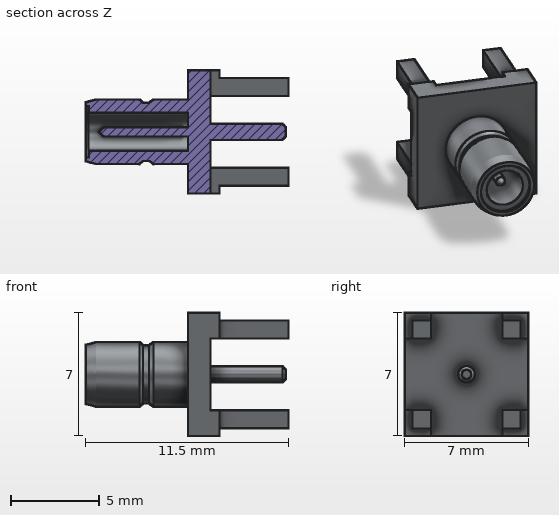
import cadquery as cq

total_length = 11.5

flange_side = 7.0
flange_front = 5.8
flange_back = 7.08
pad_height = 0.52
leg_gap = 4.05
leg_side = 1.04

barrel_radius = 1.84
barrel_tip_radius = 1.68
barrel_taper_length = 0.6
groove_radius = 1.66
groove_start = 3.06
groove_floor_start = 3.27
groove_floor_end = 3.6
groove_end = 3.84

recess_radius = 1.45
recess_depth = 0.17
bore_radius = 1.07
bore_depth = flange_front

contact_radius = 0.26
contact_tip = 0.75
contact_point_length = contact_radius

pin_radius = 0.47
pin_end = 11.35
pin_chamfer = 0.21


def revolve_about_x(points):
    """Turn an (x, radius) outline about the connector axis."""
    return (
        cq.Workplane("XY")
        .polyline(points)
        .close()
        .revolve(360, (0, 0, 0), (1, 0, 0))
    )


def cylinder(start, length, radius):
    return cq.Workplane("YZ", origin=(start, 0, 0)).circle(radius).extrude(length)


def corner_blocks(start, length, side):
    """Four square blocks whose inner faces stand leg_gap apart."""
    spacing = leg_gap + side
    return (
        cq.Workplane("YZ", origin=(start, 0, 0))
        .rarray(spacing, spacing, 2, 2)
        .rect(side, side)
        .extrude(length)
    )


def make_barrel():
    barrel = revolve_about_x([
        (0, 0),
        (0, barrel_tip_radius),
        (barrel_taper_length, barrel_radius),
        (groove_start, barrel_radius),
        (groove_floor_start, groove_radius),
        (groove_floor_end, groove_radius),
        (groove_end, barrel_radius),
        (flange_front, barrel_radius),
        (flange_front, 0),
    ])
    recess = cylinder(0, recess_depth, recess_radius)
    bore = cylinder(0, bore_depth, bore_radius)
    return barrel.cut(recess).cut(bore)


def make_flange():
    plate = (
        cq.Workplane("YZ", origin=(flange_front, 0, 0))
        .rect(flange_side, flange_side)
        .extrude(flange_back - flange_front)
    )
    pad_side = (flange_side - leg_gap) / 2
    pads = corner_blocks(flange_back, pad_height, pad_side)
    legs = corner_blocks(flange_back, total_length - flange_back, leg_side)
    return plate.union(pads).union(legs)


def make_contact():
    return revolve_about_x([
        (contact_tip, 0),
        (contact_tip + contact_point_length, contact_radius),
        (flange_back, contact_radius),
        (flange_back, 0),
    ])


def make_pin():
    pin = cylinder(flange_back, pin_end - flange_back, pin_radius)
    return pin.faces(">X").chamfer(pin_chamfer)


result = make_flange().union(make_barrel()).union(make_contact()).union(make_pin())